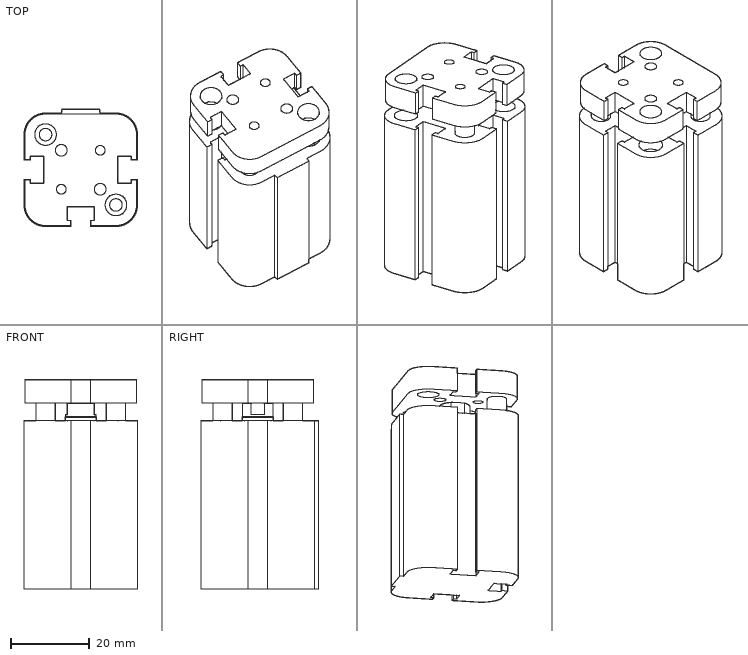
import cadquery as cq


total_height = 53.5
plate_thickness = 6.05
plate_gap = 4.45
plate_bottom = total_height - plate_thickness
housing_height = plate_bottom - plate_gap

housing_width = 29.0
plate_width = 28.5
corner_offset = 9.0

slot_mouth_width = 5.1
slot_channel_width = 6.8
slot_floor_offset = 9.45
slot_lip_offset = 12.9
slot_angles = (0, 180, 270)

rail_base_width = 9.9
rail_top_width = 9.65
rail_height = 1.0

mount_corners = [(-corner_offset, corner_offset), (corner_offset, -corner_offset)]
mount_bore_diameter = 6.0
mount_bore_depth = 3.5
mount_hole_diameter = 3.2
mount_hole_depth = 5.0
access_hole_diameter = 5.5

plate_hole_offset = 5.0
screw_hole_diameter = 2.45
dowel_hole_diameter = 3.0

guide_corners = [(-corner_offset, -corner_offset), (corner_offset, corner_offset)]
guide_diameter = 5.0

collar_diameter = 8.0
collar_height = 1.0
collar_chamfer_height = 0.2
rod_diameter = 7.8
rod_chamfer = 0.1
flat_width = 6.95
flat_height = 2.95


def rounded_block(width, bottom, height):
    """Square block whose corner arcs are centred at the corner offset."""
    block = cq.Workplane("XY").workplane(offset=bottom).rect(width, width).extrude(height)
    return block.edges("|Z").fillet(width / 2 - corner_offset)


def slot_cutter():
    """Full-height cutter for the slot that opens on the +X side."""
    channel_depth = slot_lip_offset - slot_floor_offset
    channel = cq.Workplane("XY").box(
        channel_depth, slot_channel_width, total_height, centered=(False, True, False)
    )
    mouth = cq.Workplane("XY").box(
        housing_width / 2, slot_mouth_width, total_height, centered=(False, True, False)
    )
    return channel.union(mouth).translate((slot_floor_offset, 0, 0))


def cut_slots(block):
    """Cut the three side slots."""
    for angle in slot_angles:
        block = block.cut(slot_cutter().rotate((0, 0, 0), (0, 0, 1), angle))
    return block


def cylinders(points, diameter, bottom, height):
    """Upright cylinders at the given points."""
    return (
        cq.Workplane("XY").workplane(offset=bottom)
        .pushPoints(points).circle(diameter / 2).extrude(height)
    )


def make_rail():
    """Tapered rail running the height of the housing."""
    side = housing_width / 2
    return (
        cq.Workplane("XY")
        .moveTo(-rail_base_width / 2, 0)
        .lineTo(-rail_base_width / 2, side)
        .lineTo(-rail_top_width / 2, side + rail_height)
        .lineTo(rail_top_width / 2, side + rail_height)
        .lineTo(rail_base_width / 2, side)
        .lineTo(rail_base_width / 2, 0)
        .close()
        .extrude(housing_height)
    )


def make_housing():
    """Slotted housing with its rail, counterbored mounting holes and rod collar."""
    body = cut_slots(rounded_block(housing_width, 0, housing_height)).union(make_rail())
    bore_floor = housing_height - mount_bore_depth
    body = body.cut(cylinders(mount_corners, mount_bore_diameter, bore_floor, mount_bore_depth))
    hole_floor = bore_floor - mount_hole_depth
    body = body.cut(cylinders(mount_corners, mount_hole_diameter, hole_floor, mount_hole_depth))
    collar = cylinders([(0, 0)], collar_diameter, housing_height, collar_height)
    chamfer_width = (collar_diameter - rod_diameter) / 2
    collar = collar.faces(">Z").chamfer(collar_chamfer_height, chamfer_width)
    return body.union(collar)


def make_piston_rod():
    """Round rod from the collar to the plate, with flats facing -X and +X."""
    bottom = housing_height + collar_height
    rod = cylinders([(0, 0)], rod_diameter, bottom, plate_bottom - bottom)
    rod = rod.faces(">Z").chamfer(rod_chamfer)
    for side in (-1, 1):
        flat = cq.Workplane("XY").box(
            rod_diameter, 2 * rod_diameter, flat_height, centered=(True, True, False)
        )
        flat_center = side * (flat_width + rod_diameter) / 2
        rod = rod.cut(flat.translate((flat_center, 0, plate_bottom - flat_height)))
    return rod


def make_plate():
    """Slotted plate with its through holes."""
    plate = cut_slots(rounded_block(plate_width, plate_bottom, plate_thickness))
    offset = plate_hole_offset
    screw_points = [(-offset, -offset), (offset, offset)]
    dowel_points = [(-offset, offset), (offset, -offset)]
    for points, diameter in (
        (mount_corners, access_hole_diameter),
        (screw_points, screw_hole_diameter),
        (dowel_points, dowel_hole_diameter),
    ):
        plate = plate.cut(cylinders(points, diameter, plate_bottom, plate_thickness))
    return plate


def make_plunger():
    """Moving body: plate, piston rod and the two guide rods resting on the housing."""
    guides = cylinders(guide_corners, guide_diameter, housing_height, plate_gap)
    return make_plate().union(make_piston_rod()).union(guides)


housing = make_housing()
plunger = make_plunger()

result = cq.Compound.makeCompound([housing.val(), plunger.val()])